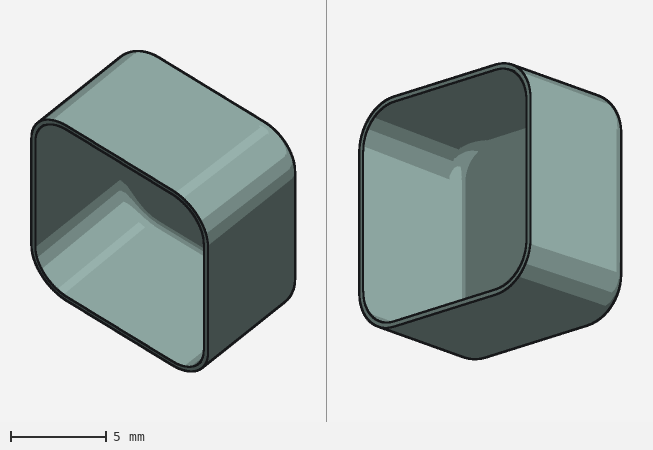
import cadquery as cq

width = 12.3
depth = 7.5
height = 12.8

wall = 0.3
corner_radius = 2.5
end_radius = 0.9


def rounded_block(inset):
    """Solid rounded block, inset from the outer sides and closed end, with its flat rim at Y = 0."""
    length = depth - inset
    return (
        cq.Workplane("XY")
        .box(width - 2 * inset, length, height - 2 * inset, centered=(True, False, True))
        .edges("|Y")
        .fillet(corner_radius - inset)
        .faces(">Y")
        .edges()
        .fillet(end_radius - inset)
    )


outer_body = rounded_block(0)
cavity = rounded_block(wall)
result = outer_body.cut(cavity)